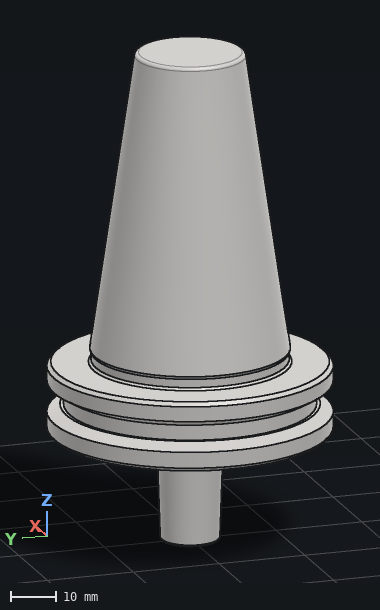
import cadquery as cq

total_height = 112.5
spindle_top_z = 20.2
flange_bottom_z = 25.0
flange_top_z = 41.0
taper_base_z = 44.1

flange_radius = 31.7
groove_radius = 28.0
neck_radius = 21.9
taper_base_radius = 22.22
spindle_tip_radius = 6.6
spindle_top_radius = 7.3

taper_slope = 7 / 48
taper_tip_radius = taper_base_radius - taper_slope * (total_height - taper_base_z)

groove_center_z = 33.1
groove_floor_width = 3.7
groove_ledge = 0.8
groove_mouth_width = 7.1

flange_chamfer = 0.9
spindle_chamfer = 0.5
neck_flare = 0.6
taper_land_height = 0.7
taper_tip_fillet = 0.9
root_fillet = flange_bottom_z - spindle_top_z

root_outer_radius = spindle_top_radius + root_fillet
root_arc_offset = root_fillet * (1 - 0.5 ** 0.5)
root_arc_middle = (spindle_top_radius + root_arc_offset, flange_bottom_z - root_arc_offset)

profile = (
    cq.Workplane("XZ")
    .lineTo(spindle_tip_radius - spindle_chamfer, 0)
    .lineTo(spindle_tip_radius, spindle_chamfer)
    .lineTo(spindle_top_radius, spindle_top_z)
    .threePointArc(root_arc_middle, (root_outer_radius, flange_bottom_z))
    .lineTo(flange_radius - flange_chamfer, flange_bottom_z)
    .lineTo(flange_radius, flange_bottom_z + flange_chamfer)
    .lineTo(flange_radius, groove_center_z - groove_mouth_width / 2)
    .lineTo(groove_radius + groove_ledge, groove_center_z - groove_floor_width / 2)
    .lineTo(groove_radius, groove_center_z - groove_floor_width / 2)
    .lineTo(groove_radius, groove_center_z + groove_floor_width / 2)
    .lineTo(groove_radius + groove_ledge, groove_center_z + groove_floor_width / 2)
    .lineTo(flange_radius, groove_center_z + groove_mouth_width / 2)
    .lineTo(flange_radius, flange_top_z - flange_chamfer)
    .lineTo(flange_radius - flange_chamfer, flange_top_z)
    .lineTo(neck_radius + neck_flare, flange_top_z)
    .lineTo(neck_radius, flange_top_z + neck_flare)
    .lineTo(neck_radius, taper_base_z - taper_land_height)
    .lineTo(taper_base_radius, taper_base_z)
    .lineTo(taper_tip_radius, total_height)
    .lineTo(0, total_height)
    .close()
)

body = profile.revolve(360, (0, 0, 0), (0, 1, 0))
result = body.faces(">Z").edges().fillet(taper_tip_fillet)